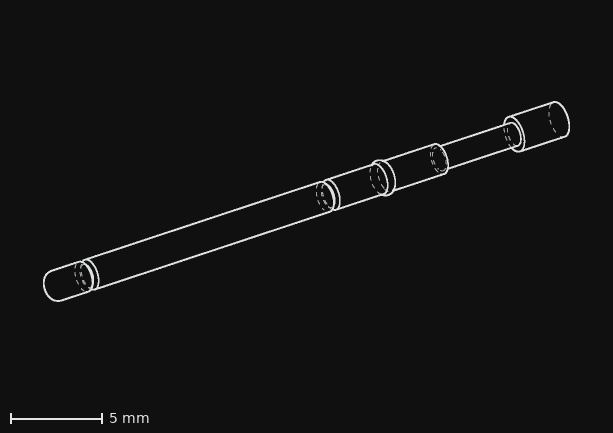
import cadquery as cq

total_length = 34.0
head_y = total_length / 2

head_diameter = 2.0
plunger_diameter = 1.33
barrel_diameter = 1.75
ring_diameter = head_diameter

head_length = 3.0
barrel_start = 8.0
ring_center = 11.75
groove_centers = (15.4, 31.5)

ring_width = 0.5
groove_width = 0.4
groove_depth = groove_width / 2
tail_radius = 0.5


def cylinder(diameter, start, end):
    """Solid cylinder on the Y axis between two distances from the head end face."""
    disc = cq.Workplane("XZ", origin=(0, head_y - start, 0)).circle(diameter / 2)
    return disc.extrude(end - start)


def revolve_about_y(profile):
    """Turn a closed XY profile a full circle about the part axis."""
    return profile.revolve(360, (0, 0, 0), (0, 1, 0))


def make_barrel():
    """Main tube with a rounded edge at the tail."""
    barrel = cylinder(barrel_diameter, barrel_start, total_length)
    return barrel.faces("<Y").edges().fillet(tail_radius)


def make_ring():
    """Press ring whose outer surface bulges as an arc above the barrel."""
    center_y = head_y - ring_center
    rear_y = center_y - ring_width / 2
    front_y = center_y + ring_width / 2
    barrel_radius = barrel_diameter / 2
    profile = (
        cq.Workplane("XY")
        .moveTo(0, rear_y)
        .lineTo(barrel_radius, rear_y)
        .threePointArc((ring_diameter / 2, center_y), (barrel_radius, front_y))
        .lineTo(0, front_y)
        .close()
    )
    return revolve_about_y(profile)


def make_groove(center):
    """V-shaped cutter with 45 degree flanks running around the barrel."""
    center_y = head_y - center
    outer_radius = barrel_diameter / 2
    profile = (
        cq.Workplane("XY")
        .moveTo(outer_radius, center_y - groove_width / 2)
        .lineTo(outer_radius - groove_depth, center_y)
        .lineTo(outer_radius, center_y + groove_width / 2)
        .close()
    )
    return revolve_about_y(profile)


head = cylinder(head_diameter, 0, head_length)
plunger = cylinder(plunger_diameter, head_length, barrel_start)

result = make_barrel().union(plunger).union(head).union(make_ring())
for groove_center in groove_centers:
    result = result.cut(make_groove(groove_center))